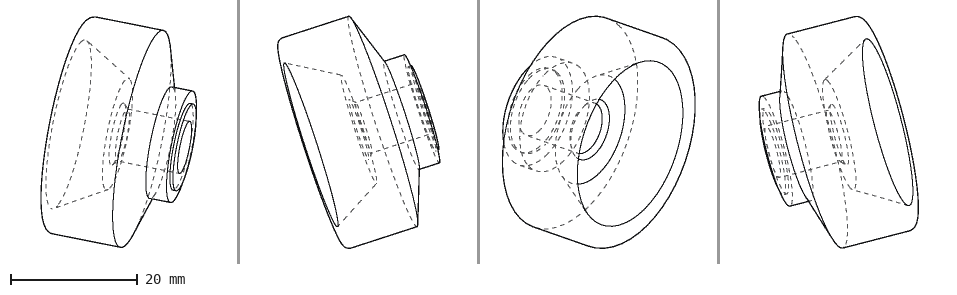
import cadquery as cq
import math

body_diameter = 35.0
body_length = 12.0
rim_fillet = 1.0

hub_diameter = 18.0
hub_end = 18.5
boss_diameter = 14.0
total_length = 19.0

shoulder_angle = 20.0
shoulder_length = (body_diameter - hub_diameter) / 2 * math.tan(math.radians(shoulder_angle))
shoulder_end = body_length + shoulder_length

recess_floor_diameter = hub_diameter
recess_depth = 8.0
recess_wall_angle = 30.0
recess_flare = recess_depth * math.tan(math.radians(recess_wall_angle))
recess_mouth_diameter = recess_floor_diameter + 2 * recess_flare

bore_diameter = 8.38
countersink_diameter = 10.0
countersink_depth = (countersink_diameter - bore_diameter) / 2


def revolve_about_x(profile):
    """Turn a closed half profile (X, radius) into a solid around the X axis."""
    return profile.close().revolve(360, (0, 0, 0), (1, 0, 0))


def make_body():
    """Outer shape: rim, conical shoulder, hub and end boss."""
    profile = (
        cq.Workplane("XY")
        .lineTo(0, body_diameter / 2)
        .lineTo(body_length, body_diameter / 2)
        .lineTo(shoulder_end, hub_diameter / 2)
        .lineTo(hub_end, hub_diameter / 2)
        .lineTo(hub_end, boss_diameter / 2)
        .lineTo(total_length, boss_diameter / 2)
        .lineTo(total_length, 0)
    )
    return revolve_about_x(profile).faces("<X").edges().fillet(rim_fillet)


def make_cavity():
    """Recess, countersink and through bore as one cutting solid."""
    profile = (
        cq.Workplane("XY")
        .lineTo(0, recess_mouth_diameter / 2)
        .lineTo(recess_depth, recess_floor_diameter / 2)
        .lineTo(recess_depth, countersink_diameter / 2)
        .lineTo(recess_depth + countersink_depth, bore_diameter / 2)
        .lineTo(total_length, bore_diameter / 2)
        .lineTo(total_length, 0)
    )
    return revolve_about_x(profile)


result = make_body().cut(make_cavity())